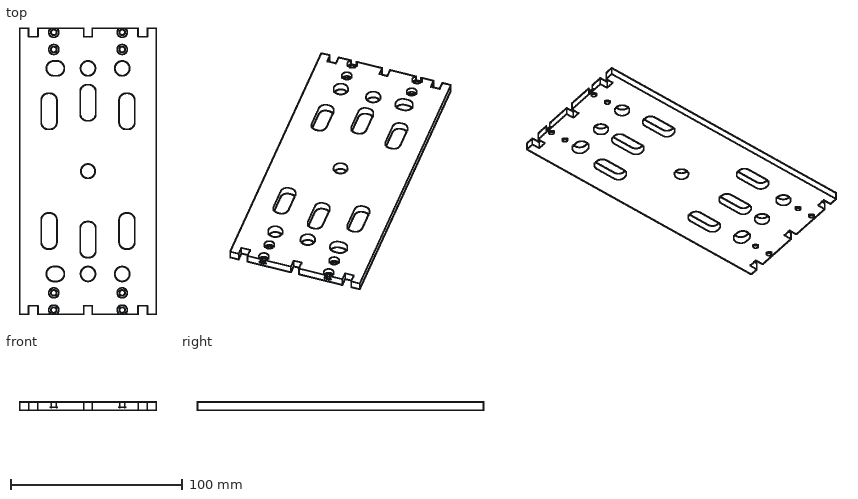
import cadquery as cq

WIDTH = 80.0
LENGTH = 167.2
THICKNESS = 5

NOTCH_DEPTH = 5
MIDDLE_NOTCH_WIDTH = 4.8
SIDE_NOTCH_WIDTH = 5.4
SIDE_NOTCH_X = 32.0

SCREW_X = WIDTH / 4
SCREW_HOLE_DIAMETER = 3.2
COUNTERBORE_DIAMETER = 5.9
COUNTERBORE_DEPTH = 3.2
SCREW_EDGE_DISTANCE = 2.5
SCREW_ROW_PITCH = 10
OUTER_SCREW_Y = LENGTH / 2 - SCREW_EDGE_DISTANCE

MOUNTING_Y = 60.0
MOUNTING_HOLE_DIAMETER = 8.5
CROSS_SLOT_LENGTH = 10.4
CROSS_SLOT_X = -19.0

CENTRE_HOLE_DIAMETER = 8.2

SLOT_WIDTH = 9.0
SLOT_LENGTH = 20.9
SLOT_CORNER_RADIUS = 4.0
SIDE_SLOT_X = 22.7
SIDE_SLOT_Y = 35.0
MIDDLE_SLOT_Y = 40.0


def both_ends(x_positions, y):
    """Points at the given X positions, repeated at +y and -y."""
    return [(x, side * y) for side in (1, -1) for x in x_positions]


def cut_notches(plate, x_positions, width):
    points = both_ends(x_positions, LENGTH / 2)
    cutter = cq.Workplane().pushPoints(points).rect(width, 2 * NOTCH_DEPTH).extrude(THICKNESS)
    return plate.cut(cutter)


def cut_round_holes(plate, points, diameter):
    return plate.cut(cq.Workplane().pushPoints(points).circle(diameter / 2).extrude(THICKNESS))


def cut_cross_slots(plate, points):
    slots = cq.Workplane().pushPoints(points).slot2D(CROSS_SLOT_LENGTH, MOUNTING_HOLE_DIAMETER)
    return plate.cut(slots.extrude(THICKNESS))


def cut_screw_holes(plate, points):
    plate = cut_round_holes(plate, points, SCREW_HOLE_DIAMETER)
    floor = cq.Workplane(origin=(0, 0, THICKNESS - COUNTERBORE_DEPTH))
    return plate.cut(floor.pushPoints(points).circle(COUNTERBORE_DIAMETER / 2).extrude(COUNTERBORE_DEPTH))


def cut_rounded_slots(plate, points):
    """Lengthwise slots with rounded corners and a short flat at each end."""
    blanks = cq.Workplane().pushPoints(points).rect(SLOT_WIDTH, SLOT_LENGTH).extrude(THICKNESS)
    return plate.cut(blanks.edges("|Z").fillet(SLOT_CORNER_RADIUS))


plate = cq.Workplane().box(WIDTH, LENGTH, THICKNESS, centered=(True, True, False))

plate = cut_notches(plate, [0], MIDDLE_NOTCH_WIDTH)
plate = cut_notches(plate, [-SIDE_NOTCH_X, SIDE_NOTCH_X], SIDE_NOTCH_WIDTH)

for row_y in (OUTER_SCREW_Y, OUTER_SCREW_Y - SCREW_ROW_PITCH):
    plate = cut_screw_holes(plate, both_ends([-SCREW_X, SCREW_X], row_y))

plate = cut_round_holes(plate, [(0, 0)], CENTRE_HOLE_DIAMETER)
plate = cut_round_holes(plate, both_ends([0, SCREW_X], MOUNTING_Y), MOUNTING_HOLE_DIAMETER)
plate = cut_cross_slots(plate, both_ends([CROSS_SLOT_X], MOUNTING_Y))

plate = cut_rounded_slots(plate, both_ends([-SIDE_SLOT_X, SIDE_SLOT_X], SIDE_SLOT_Y))
plate = cut_rounded_slots(plate, both_ends([0], MIDDLE_SLOT_Y))

result = plate